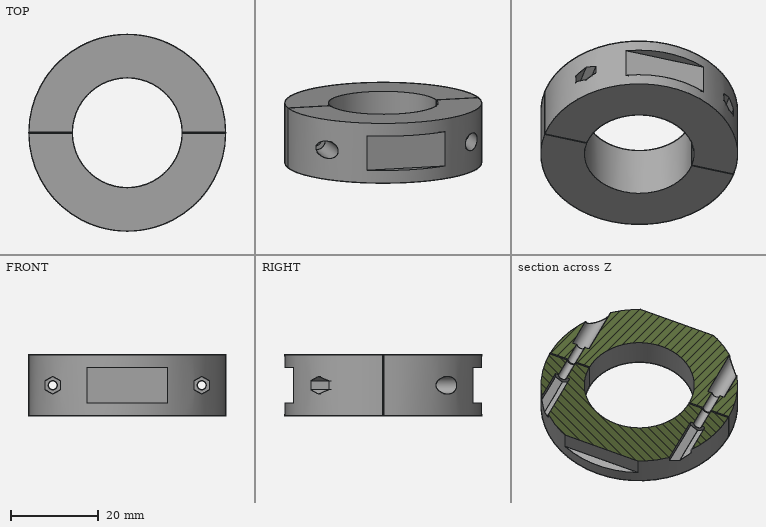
import cadquery as cq
import math

outer_diameter = 45.0
bore_diameter = 25.0
height = 14.0
split_gap = 0.2

flat_depth = 2.0
flat_height = 8.0

screw_offset = 17.0
screw_hole_diameter = 2.0
head_diameter = 4.0
nut_across_flats = 3.5
seat_distance = 5.0

outer_radius = outer_diameter / 2
mid_height = height / 2


def half_ring(side):
    """Half of the collar on the +Y (side = 1) or -Y (side = -1) side, with its outer flat recess."""
    ring = cq.Workplane("XY").circle(outer_radius).circle(bore_diameter / 2).extrude(height)
    half_space = cq.Workplane("XY").box(outer_diameter, outer_radius, height, centered=(True, True, False))
    ring = ring.intersect(half_space.translate((0, side * (split_gap + outer_radius) / 2, 0)))
    recess = cq.Workplane("XY").box(outer_diameter, 2 * flat_depth, flat_height)
    return ring.cut(recess.translate((0, side * outer_radius, mid_height)))


def screw_axes(start_y):
    """Centres of both screws on an XZ plane at start_y; positive extrusion runs toward -Y."""
    plane = cq.Workplane("XZ", origin=(0, start_y, mid_height))
    return plane.pushPoints([(-screw_offset, 0), (screw_offset, 0)])


def screw_holes():
    return screw_axes(outer_radius).circle(screw_hole_diameter / 2).extrude(outer_diameter)


def head_counterbores():
    return screw_axes(outer_radius).circle(head_diameter / 2).extrude(outer_radius - seat_distance)


def nut_pockets():
    """Hexagonal pockets with corners pointing up and down."""
    corner_diameter = nut_across_flats / math.cos(math.pi / 6)
    corner_angles = [math.radians(30 + 60 * corner) for corner in range(6)]
    pockets = cq.Workplane("XY")
    for x in (-screw_offset, screw_offset):
        corners = [
            (x + corner_diameter / 2 * math.cos(angle), corner_diameter / 2 * math.sin(angle))
            for angle in corner_angles
        ]
        seat_plane = cq.Workplane("XZ", origin=(0, -seat_distance, mid_height))
        pockets = pockets.add(seat_plane.polyline(corners).close().extrude(outer_radius - seat_distance))
    return pockets.combine()


head_half = half_ring(1).cut(screw_holes()).cut(head_counterbores())
nut_half = half_ring(-1).cut(screw_holes()).cut(nut_pockets())

result = cq.Compound.makeCompound([head_half.val(), nut_half.val()])